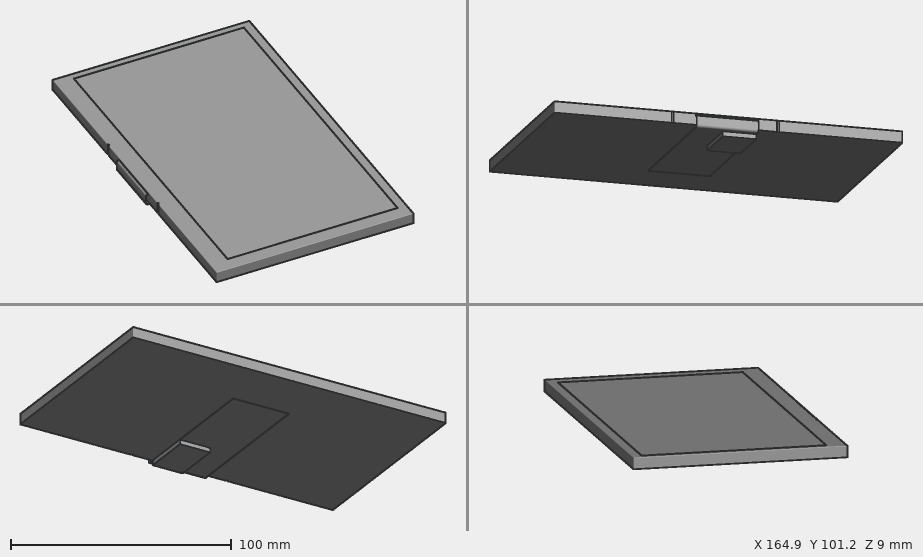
import cadquery as cq

OVERALL_WIDTH = 101.2
OVERALL_HEIGHT = 9.0
TAIL_PROJECTION = 1.25

PANEL_LENGTH = 164.9
PANEL_WIDTH = OVERALL_WIDTH - TAIL_PROJECTION
PANEL_THICKNESS = 5.5
PANEL_EDGE_RADIUS = 0.3
PANEL_FRONT = -PANEL_WIDTH / 2

WINDOW_LENGTH = 154.2
WINDOW_WIDTH = 86.2
WINDOW_DEPTH = 0.2
WINDOW_LEFT_MARGIN = 3.6
WINDOW_BACK_MARGIN = 4.6

GROOVE_RADIUS = 0.5
GROOVE_SPACING = 50.0
GROOVE_MIDDLE_X = -1.53

TAIL_LEFT = -15.5
TAIL_WIDTH = 29.4
TAIL_RIGHT = TAIL_LEFT + TAIL_WIDTH
TAIL_THICKNESS = 0.2
TAIL_LENGTH_BELOW = 74.7
TAIL_DROP = 1.0
TAIL_BEND_RADIUS = 1.2
TAIL_FRONT = PANEL_FRONT - TAIL_PROJECTION
TAIL_TOP = PANEL_THICKNESS - TAIL_DROP

CONNECTOR_LENGTH = 15.8
CONNECTOR_WIDTH = 24.2
CONNECTOR_THICKNESS = 2.3
CONNECTOR_SETBACK = 3.5
CONNECTOR_BOTTOM = PANEL_THICKNESS - OVERALL_HEIGHT
TAIL_BOTTOM = CONNECTOR_BOTTOM + CONNECTOR_THICKNESS


def make_panel():
    """Flat display panel with rounded edges, a window recess and two grooves."""
    panel = cq.Workplane("XY").box(
        PANEL_LENGTH, PANEL_WIDTH, PANEL_THICKNESS, centered=(True, True, False)
    )
    panel = panel.edges("|Z or >Z").fillet(PANEL_EDGE_RADIUS)

    window = cq.Workplane("XY").box(WINDOW_LENGTH, WINDOW_WIDTH, WINDOW_DEPTH, centered=False)
    window_left = WINDOW_LEFT_MARGIN - PANEL_LENGTH / 2
    window_front = PANEL_WIDTH / 2 - WINDOW_BACK_MARGIN - WINDOW_WIDTH
    panel = panel.cut(window.translate((window_left, window_front, PANEL_THICKNESS - WINDOW_DEPTH)))

    for side in (-1, 1):
        groove_x = GROOVE_MIDDLE_X + side * GROOVE_SPACING / 2
        groove = cq.Workplane("XY").circle(GROOVE_RADIUS).extrude(PANEL_THICKNESS)
        groove = groove.rotate((0, 0, 0), (0, 0, 1), -90)
        panel = panel.cut(groove.translate((groove_x, PANEL_FRONT, 0)))
    return panel


def make_tail_strip():
    """Bent strip of even thickness, drawn as a side profile in Y and Z."""
    inner_radius = TAIL_BEND_RADIUS - TAIL_THICKNESS
    tail_back = TAIL_FRONT + TAIL_LENGTH_BELOW
    inner_front = TAIL_FRONT + TAIL_THICKNESS
    inner_top = TAIL_TOP - TAIL_THICKNESS
    inner_bottom = TAIL_BOTTOM + TAIL_THICKNESS
    bend_y = TAIL_FRONT + TAIL_BEND_RADIUS
    upper_bend_z = TAIL_TOP - TAIL_BEND_RADIUS
    lower_bend_z = TAIL_BOTTOM + TAIL_BEND_RADIUS

    profile = (
        cq.Workplane("YZ", origin=(TAIL_LEFT, 0, 0))
        .moveTo(PANEL_FRONT, TAIL_TOP)
        .lineTo(bend_y, TAIL_TOP)
        .radiusArc((TAIL_FRONT, upper_bend_z), -TAIL_BEND_RADIUS)
        .lineTo(TAIL_FRONT, lower_bend_z)
        .radiusArc((bend_y, TAIL_BOTTOM), -TAIL_BEND_RADIUS)
        .lineTo(tail_back, TAIL_BOTTOM)
        .lineTo(tail_back, inner_bottom)
        .lineTo(bend_y, inner_bottom)
        .radiusArc((inner_front, lower_bend_z), inner_radius)
        .lineTo(inner_front, upper_bend_z)
        .radiusArc((bend_y, inner_top), inner_radius)
        .lineTo(PANEL_FRONT, inner_top)
        .close()
    )
    return profile.extrude(TAIL_WIDTH)


def make_flex_tail():
    """Flex tail: the bent strip with its connector block."""
    connector = cq.Workplane("XY").box(
        CONNECTOR_LENGTH, CONNECTOR_WIDTH, CONNECTOR_THICKNESS, centered=False
    )
    connector_left = TAIL_RIGHT - CONNECTOR_LENGTH
    connector_front = TAIL_FRONT + CONNECTOR_SETBACK
    connector = connector.translate((connector_left, connector_front, CONNECTOR_BOTTOM))
    return make_tail_strip().union(connector)


panel = make_panel()
flex_tail = make_flex_tail()

result = cq.Compound.makeCompound([panel.solids().val(), flex_tail.solids().val()])